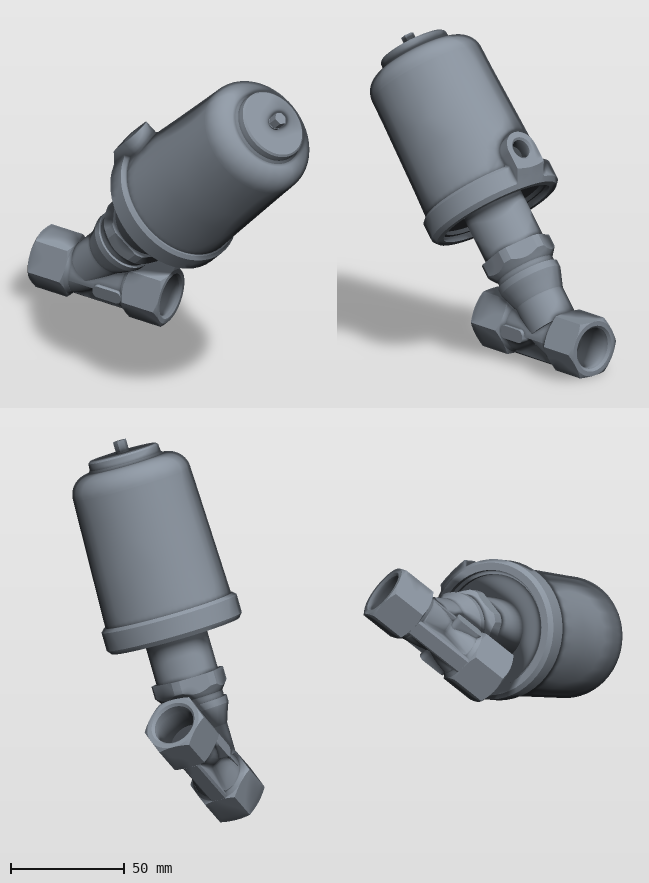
import cadquery as cq
import math

AXIS_TILT = 40.0
FLARE = 13.4

PIPE_LENGTH = 65.0
INLET_X = -22.5
HEX_FLATS = 25.0
HEX_LENGTH = 18.0
HEX_OUTER_CHAMFER = 1.2
HEX_INNER_CHAMFER = 1.1
HEX_CHAMFER_RADIUS = 12.5
HEX_ROOT_LENGTH = 1.7
BORE_DIAMETER = 18.7
BORE_DEPTH = 17.5
BORE_CHAMFER = 1.1

PIPE_RADIUS = 11.3
UNDERCUT_SLOPE = 27.0
WEB_THICKNESS = 8.0
WEB_DEPTH = 12.5
WEB_EDGE_CHAMFER = 1.0
WEB_FILLET = 1.6
PAD_LENGTH = 13.8
PAD_HEIGHT = 5.9
PAD_CORNER_RADIUS = 2.3
PAD_REACH = 12.8
PAD_START = 0.3

NECK_DIAMETER = 22.7
NECK_BOTTOM = 5.4
FUNNEL_BOTTOM = 19.0
COLLAR_DIAMETER = 29.0
COLLAR_BOTTOM = 27.9
COLLAR_TOP = 31.0

BONNET_NECK_DIAMETER = 26.7
NUT_FLATS = 30.1
NUT_TURNED_DIAMETER = 32.8
NUT_BOTTOM = 33.7
NUT_CHAMFER_HEIGHT = 3.9
NUT_TOP = 43.4
TUBE_DIAMETER = 28.0

FLANGE_DIAMETER = 61.9
FLANGE_BOTTOM = 62.0
FLANGE_FOOT_DIAMETER = 58.5
FLANGE_TOP = 73.7
FLANGE_TOP_CHAMFER = 1.5
RECESS_DIAMETER = 52.1
RECESS_DEPTH = 2.7
INNER_RECESS_DIAMETER = 48.9
INNER_RECESS_DEPTH = 1.9
HOUSING_BASE_DIAMETER = 57.5
HOUSING_TOP_DIAMETER = 53.7
DOME_BOTTOM = 131.8
DOME_RADIUS = 9.4
CAP_BASE_DIAMETER = 32.5
CAP_TOP_DIAMETER = 32.0
CAP_ROOT_CHAMFER = 1.1
CAP_TOP = 146.2
CAP_CHAMFER = 0.8

BOSS_WIDTH = 15.8
BOSS_FILLET = 1.0
BOSS_REACH = 34.6
PORT_POSITION = 77.9
PORT_DIAMETER = 8.6
PORT_CHAMFER = 1.0
PORT_DEPTH = 7.2

PIN_COLLAR_DIAMETER = 6.0
PIN_COLLAR_HEIGHT = 0.7
PIN_FLATS = 5.2
PIN_TOP = 151.6

PIPE_MIDDLE_X = INLET_X + PIPE_LENGTH / 2
HALF_WAIST = PIPE_LENGTH / 2 - HEX_LENGTH
RECESS_FLOOR = FLANGE_BOTTOM + RECESS_DEPTH + INNER_RECESS_DEPTH


def corner_diameter(flats):
    """Diameter across the corners of a hexagon."""
    return flats / math.cos(math.pi / 6)


def turned(points):
    """Solid of revolution about Z from (radius, height) points."""
    return cq.Workplane("XZ").polyline(points).close().revolve(360, (0, 0, 0), (0, 1, 0))


def upright_cylinder(diameter, bottom, top):
    return cq.Workplane("XY").workplane(offset=bottom).circle(diameter / 2).extrude(top - bottom)


def hex_prism(flats, bottom, top):
    """Hexagon along Z with two flats facing -Y and +Y."""
    plane = cq.Workplane("XY").workplane(offset=bottom)
    return plane.polygon(6, corner_diameter(flats)).extrude(top - bottom)


def tilted(shape):
    """Lean a shape built along Z onto the inclined axis."""
    return shape.rotate((0, 0, 0), (0, 1, 0), AXIS_TILT)


def pipe_end():
    """One hexagonal end along +X: its outer face is at x = 0 and its root points to +X."""
    corner_radius = corner_diameter(HEX_FLATS) / 2
    root = HEX_LENGTH + HEX_ROOT_LENGTH
    hexagon = hex_prism(HEX_FLATS, 0, HEX_LENGTH).rotate((0, 0, 0), (0, 0, 1), 90)
    envelope = turned([
        (0, 0),
        (HEX_CHAMFER_RADIUS, 0),
        (corner_radius, HEX_OUTER_CHAMFER),
        (corner_radius, HEX_LENGTH - HEX_INNER_CHAMFER),
        (HEX_CHAMFER_RADIUS, HEX_LENGTH),
        (0, HEX_LENGTH),
    ])
    root_cone = turned([
        (0, 0),
        (HEX_FLATS / 2, 0),
        (HEX_FLATS / 2, HEX_LENGTH),
        (PIPE_RADIUS, root),
        (0, root),
    ])
    end = hexagon.intersect(envelope).union(root_cone.intersect(upright_cylinder(HEX_FLATS, HEX_LENGTH, root)))
    return end.rotate((0, 0, 0), (0, 1, 0), 90)


def pipe_bore():
    """Chamfered blind bore along +X from x = 0."""
    radius = BORE_DIAMETER / 2
    bore = turned([
        (0, 0),
        (radius + BORE_CHAMFER, 0),
        (radius, BORE_CHAMFER),
        (radius, BORE_DEPTH),
        (0, BORE_DEPTH),
    ])
    return bore.rotate((0, 0, 0), (0, 1, 0), 90)


def both_ends(shape):
    """The shape at the inlet and its mirror image at the outlet."""
    inlet = shape.translate((INLET_X, 0, 0))
    outlet = shape.mirror("YZ").translate((INLET_X + PIPE_LENGTH, 0, 0))
    return inlet.union(outlet)


def waist():
    """Pipe between the hexagons: round on top, rising to a ridge in the middle underneath."""
    length = 2 * HALF_WAIST
    pipe = cq.Workplane("YZ").circle(PIPE_RADIUS).extrude(length).translate((-HALF_WAIST, 0, 0))
    upper_half = cq.Workplane("XY").box(length, 2 * PIPE_RADIUS, PIPE_RADIUS, centered=(True, True, False))
    slanted = cq.Workplane("YZ").circle(PIPE_RADIUS).extrude(length + 2 * FLARE)
    slanted = slanted.translate((-FLARE, 0, 0)).rotate((0, 0, 0), (0, 1, 0), -UNDERCUT_SLOPE)
    slanted = slanted.translate((-HALF_WAIST, 0, 0))
    left_half = cq.Workplane("XY").box(HALF_WAIST, 2 * PIPE_RADIUS, 2 * PIPE_RADIUS)
    left_half = left_half.translate((-HALF_WAIST / 2, 0, 0))
    left_keep = slanted.intersect(left_half)
    keep = upper_half.union(left_keep).union(left_keep.mirror("YZ"))
    web = cq.Workplane("XY").box(length, WEB_THICKNESS, WEB_DEPTH, centered=(True, True, False))
    web = web.translate((0, 0, -WEB_DEPTH)).edges("|X and <Z").chamfer(WEB_EDGE_CHAMFER)
    pads = cq.Workplane("XY").box(PAD_LENGTH, 2 * PAD_REACH, PAD_HEIGHT)
    pads = pads.edges("|Y").fillet(PAD_CORNER_RADIUS)
    pads = pads.translate((PAD_START + PAD_LENGTH / 2, 0, 0))
    ribbed = pipe.intersect(keep).union(web)
    root_zone = cq.selectors.BoxSelector(
        (-HALF_WAIST + 1.3, -WEB_THICKNESS, -PIPE_RADIUS), (HALF_WAIST - 1.3, WEB_THICKNESS, -1.3)
    )
    ribbed = ribbed.edges(root_zone).fillet(WEB_FILLET)
    return ribbed.union(pads).translate((PIPE_MIDDLE_X, 0, 0))


def inclined_neck():
    neck_radius = NECK_DIAMETER / 2
    collar_radius = COLLAR_DIAMETER / 2
    return tilted(turned([
        (0, NECK_BOTTOM),
        (neck_radius, NECK_BOTTOM),
        (neck_radius, FUNNEL_BOTTOM),
        (collar_radius, COLLAR_BOTTOM),
        (collar_radius, COLLAR_TOP),
        (0, COLLAR_TOP),
    ]))


def make_valve_body():
    solid = waist().union(both_ends(pipe_end())).union(inclined_neck())
    return solid.cut(both_ends(pipe_bore()))


def make_bonnet():
    neck_radius = BONNET_NECK_DIAMETER / 2
    turned_radius = NUT_TURNED_DIAMETER / 2
    neck = upright_cylinder(BONNET_NECK_DIAMETER, COLLAR_TOP, NUT_BOTTOM)
    envelope = turned([
        (0, NUT_BOTTOM),
        (neck_radius, NUT_BOTTOM),
        (turned_radius, NUT_BOTTOM + NUT_CHAMFER_HEIGHT),
        (turned_radius, NUT_TOP),
        (0, NUT_TOP),
    ])
    nut = hex_prism(NUT_FLATS, NUT_BOTTOM, NUT_TOP).intersect(envelope)
    tube = upright_cylinder(TUBE_DIAMETER, NUT_TOP, RECESS_FLOOR)
    return tilted(neck.union(nut).union(tube))


def bevel_envelope():
    """Widening cone that bevels the underside of the flange and of the air port boss."""
    foot_radius = FLANGE_FOOT_DIAMETER / 2
    top_radius = foot_radius + (CAP_TOP - FLANGE_BOTTOM) * math.tan(math.radians(AXIS_TILT))
    return turned([
        (0, FLANGE_BOTTOM),
        (foot_radius, FLANGE_BOTTOM),
        (top_radius, CAP_TOP),
        (0, CAP_TOP),
    ])


def flange():
    radius = FLANGE_DIAMETER / 2
    return turned([
        (0, FLANGE_BOTTOM),
        (radius, FLANGE_BOTTOM),
        (radius, FLANGE_TOP - FLANGE_TOP_CHAMFER),
        (radius - FLANGE_TOP_CHAMFER, FLANGE_TOP),
        (0, FLANGE_TOP),
    ])


def housing():
    """Tapered cylinder with a domed top, and the cap on the dome."""
    top_radius = HOUSING_TOP_DIAMETER / 2
    cap_radius = CAP_BASE_DIAMETER / 2
    cap_top_radius = CAP_TOP_DIAMETER / 2
    dome_center = top_radius - DOME_RADIUS
    dome_top = DOME_BOTTOM + DOME_RADIUS
    diagonal = DOME_RADIUS * math.sqrt(0.5)
    profile = (
        cq.Workplane("XZ")
        .moveTo(0, RECESS_FLOOR)
        .lineTo(HOUSING_BASE_DIAMETER / 2, RECESS_FLOOR)
        .lineTo(HOUSING_BASE_DIAMETER / 2, FLANGE_TOP)
        .lineTo(top_radius, DOME_BOTTOM)
        .threePointArc((dome_center + diagonal, DOME_BOTTOM + diagonal), (dome_center, dome_top))
        .lineTo(cap_radius + CAP_ROOT_CHAMFER, dome_top)
        .lineTo(cap_radius, dome_top + CAP_ROOT_CHAMFER)
        .lineTo(cap_top_radius, CAP_TOP - CAP_CHAMFER)
        .lineTo(cap_top_radius - CAP_CHAMFER, CAP_TOP)
        .lineTo(0, CAP_TOP)
        .close()
    )
    return profile.revolve(360, (0, 0, 0), (0, 1, 0))


def port_boss():
    """Boss on the flange edge, rounded at the top about the air port."""
    boss = (
        cq.Workplane("YZ")
        .circle(BOSS_WIDTH / 2)
        .extrude(-BOSS_REACH)
        .translate((0, 0, PORT_POSITION))
    )
    leg_height = PORT_POSITION - FLANGE_BOTTOM
    leg = cq.Workplane("XY").box(BOSS_REACH, BOSS_WIDTH, leg_height)
    leg = leg.translate((-BOSS_REACH / 2, 0, FLANGE_BOTTOM + leg_height / 2))
    return boss.union(leg)


def air_port():
    radius = PORT_DIAMETER / 2
    port = turned([
        (0, 0),
        (radius + PORT_CHAMFER, 0),
        (radius, PORT_CHAMFER),
        (radius, PORT_DEPTH),
        (0, PORT_DEPTH),
    ])
    return port.rotate((0, 0, 0), (0, 1, 0), 90).translate((-BOSS_REACH, 0, PORT_POSITION))


def underside_recess():
    step = FLANGE_BOTTOM + RECESS_DEPTH
    outer = upright_cylinder(RECESS_DIAMETER, FLANGE_BOTTOM, step)
    return outer.union(upright_cylinder(INNER_RECESS_DIAMETER, step, RECESS_FLOOR))


def indicator_pin():
    collar_top = CAP_TOP + PIN_COLLAR_HEIGHT
    collar = upright_cylinder(PIN_COLLAR_DIAMETER, CAP_TOP, collar_top)
    return collar.union(hex_prism(PIN_FLATS, collar_top, PIN_TOP))


def make_actuator():
    shell = housing().union(flange()).union(port_boss())
    half_zone = BOSS_WIDTH / 2 + 0.1
    fillet_zone = cq.selectors.BoxSelector(
        (-FLANGE_DIAMETER / 2, -half_zone, FLANGE_BOTTOM + 1.3),
        (-HOUSING_TOP_DIAMETER / 2, half_zone, PORT_POSITION + BOSS_WIDTH),
    )
    shell = shell.edges(fillet_zone).fillet(BOSS_FILLET)
    solid = shell.intersect(bevel_envelope()).union(indicator_pin())
    return tilted(solid.cut(underside_recess()).cut(air_port()))


valve_body = make_valve_body()
bonnet = make_bonnet()
actuator = make_actuator()

result = cq.Compound.makeCompound([valve_body.val(), bonnet.val(), actuator.val()])